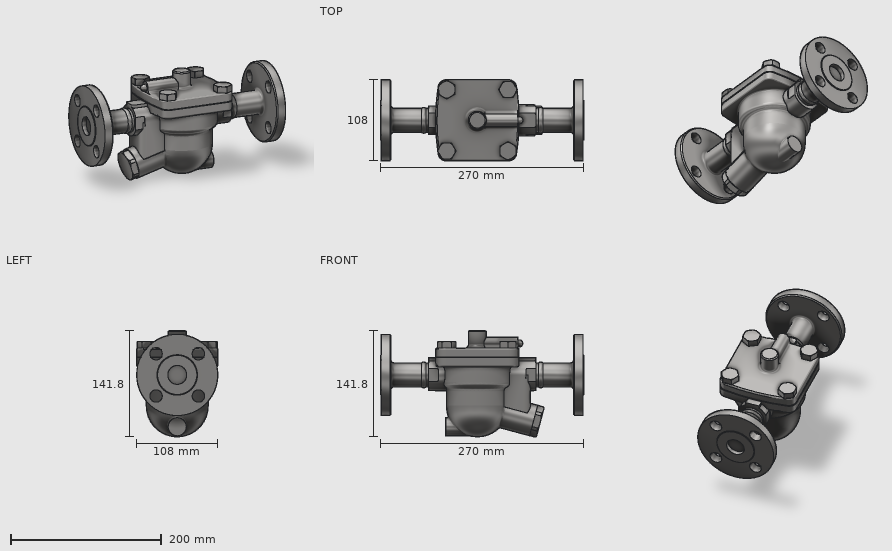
import cadquery as cq
import math

END_X = 135.0
BODY_X = -6.5

FLANGE_R = 54.0
FLANGE_BACK_X = 121.2
RAISED_R = 26.86
RAISED_H = 0.8
FLANGE_CHAMFER = 1.5
PIPE_R = 16.06
PIPE_FILLET = 4.0
BEAD_R = 17.3
BEAD_X = 74.8
BEAD_LENGTH = 6.0
BORE_DIA = 25.0
BORE_DEPTH = 6.2
FLANGE_HOLE_DIA = 16.5
FLANGE_HOLE_PITCH = 56.2

BOSS_R = 21.0
BOSS_END_X = 71.3
FLAT_LENGTH = 13.0
FLAT_HEIGHT = 17.8
FLAT_Y = 19.2
FLAT_ROUND = 2.2
PAD_TOP_Z = 23.0
OUTLET_PAD_WIDTH = 19.5
OUTLET_PAD_ROUND = 2.7
INLET_PAD_WIDTH = 14.0
INLET_PAD_ROUND = 6.0

NECK_R = 47.8
NECK_FILLET = 2.5
NECK_BOTTOM_Z = -10.5
SHOULDER_MID_Z = -16.5
BOWL_TOP_Z = -21.0
BOWL_R = 41.3
BOWL_CENTRE_Z = -41.0

PLATE_BOTTOM_Z = 10.8
SPLIT_Z = 23.5
COVER_TOP_Z = 35.6
PLATE_HALF_Y = 54.0
PLATE_CORNER_X = 50.5
PLATE_MIDDLE_X = 55.5
PLATE_CORNER_R = 10.8
PLATE_EDGE_ROUND = 2.2
GASKET_HEIGHT = 0.8
GASKET_INSET = 0.5

BOLT_OFFSET = 40.8
BOLT_ACROSS_FLATS = 21.5
BOLT_TURNED_DIA = 24.8
BOLT_TOP_Z = 44.5
BOLT_CHAMFER = 1.0

STEM_R = 12.02
STEM_TOP_Z = 59.0
STEM_CHAMFER = 1.5
STEM_FILLET = 5.0
RIB_R = 8.5
RIB_AXIS_Z = 41.8
RIB_END_X = 47.2
RIB_FILLET = 4.5
PIN_R = 4.9
PIN_END_X = 54.0

CHANNEL_END_X = 64.0
CHANNEL_CORNER_R = 9.0
CHANNEL_HALF_WIDTH = BOSS_R
CHANNEL_FOOT_RISE = 7.5
STRAINER_ANGLE = 15.0
STRAINER_R = 21.0
CAP_FACE_X = 77.2
CAP_FACE_Z = -63.0
CAP_ACROSS_FLATS = 38.3
CAP_TURNED_DIA = 41.8
CAP_THICKNESS = 9.2
CAP_CHAMFER = 1.4
STRAINER_LENGTH = 67.5
STRAINER_FILLET = 3.2

SEAM_TOLERANCE = 0.03

DRAIN_R = 12.02
DRAIN_END_X = -48.5
DRAIN_Z = -68.8
DRAIN_FILLET = 1.5


def hex_head(plane, across_flats, turned_dia, height, turn, chamfer):
    """Turned and chamfered disc with six flats."""
    across_corners = across_flats / math.cos(math.radians(30))
    hexagon = (
        cq.Workplane(plane)
        .transformed(rotate=(0, 0, turn))
        .polygon(6, across_corners)
        .extrude(height)
    )
    disc = (
        cq.Workplane(plane)
        .circle(turned_dia / 2)
        .extrude(height)
        .faces(cq.selectors.DirectionMinMaxSelector(plane.zDir))
        .chamfer(chamfer)
    )
    return hexagon.intersect(disc)


def make_pipe_end():
    """Flange, pipe and weld bead of the +X end, as one revolved profile."""
    face_x = END_X - RAISED_H
    bead_end_x = BEAD_X + BEAD_LENGTH
    arc_shift = PIPE_FILLET * (1 - math.sqrt(0.5))
    profile = (
        cq.Workplane("XY")
        .moveTo(BODY_X, 0)
        .lineTo(BODY_X, PIPE_R)
        .lineTo(BEAD_X, PIPE_R)
        .threePointArc((BEAD_X + BEAD_LENGTH / 2, BEAD_R), (bead_end_x, PIPE_R))
        .lineTo(FLANGE_BACK_X - PIPE_FILLET, PIPE_R)
        .threePointArc((FLANGE_BACK_X - arc_shift, PIPE_R + arc_shift),
                       (FLANGE_BACK_X, PIPE_R + PIPE_FILLET))
        .lineTo(FLANGE_BACK_X, FLANGE_R - FLANGE_CHAMFER)
        .lineTo(FLANGE_BACK_X + FLANGE_CHAMFER, FLANGE_R)
        .lineTo(face_x, FLANGE_R)
        .lineTo(face_x, RAISED_R)
        .lineTo(END_X, RAISED_R - RAISED_H)
        .lineTo(END_X, 0)
        .close()
    )
    end = profile.revolve(360, (0, 0, 0), (1, 0, 0))
    holes = (
        cq.Workplane("YZ", origin=(FLANGE_BACK_X - 2.7, 0, 0))
        .rect(FLANGE_HOLE_PITCH, FLANGE_HOLE_PITCH, forConstruction=True)
        .vertices()
        .circle(FLANGE_HOLE_DIA / 2)
        .extrude(END_X)
    )
    bore = (
        cq.Workplane("YZ", origin=(END_X - BORE_DEPTH, 0, 0))
        .circle(BORE_DIA / 2)
        .extrude(BORE_DEPTH)
    )
    return end.cut(holes).cut(bore)


def cut_flats(body):
    """Wrench flats on both sides of both bosses."""
    flat_x = BOSS_END_X - FLAT_LENGTH / 2
    cutter = (
        cq.Workplane("XY")
        .box(FLAT_LENGTH, BOSS_R, FLAT_HEIGHT)
        .edges("|Y and <X")
        .fillet(FLAT_ROUND)
        .translate((flat_x, FLAT_Y + BOSS_R / 2, 0))
    )
    cutters = cutter.union(cutter.mirror("XZ"))
    return body.cut(cutters).cut(cutters.mirror("YZ"))


def make_pad(width, corner_round):
    """Flat pad on top of the +X boss."""
    return (
        cq.Workplane("XY")
        .rect(2 * BOSS_END_X, width)
        .extrude(PAD_TOP_Z)
        .edges("|Z and >X")
        .fillet(corner_round)
    )


def blend(body, addition, radius):
    """Join two solids and round the seam between their surfaces."""
    joined = body.union(addition)
    old_edges = [edge.Center() for solid in (body, addition) for edge in solid.edges().vals()]
    seam = [
        edge for edge in joined.edges().vals()
        if min((edge.Center() - centre).Length for centre in old_edges) > SEAM_TOLERANCE
    ]
    return joined.newObject(seam).fillet(radius)


def make_bowl():
    """Neck, S-curved shoulder and round-bottomed bowl, as one revolved profile."""
    collar_r = NECK_R + NECK_FILLET
    drop = (NECK_BOTTOM_Z - SHOULDER_MID_Z) / (NECK_BOTTOM_Z - BOWL_TOP_Z)
    shoulder_mid_r = NECK_R - drop * (NECK_R - BOWL_R)
    profile = (
        cq.Workplane("XZ")
        .moveTo(0, SPLIT_Z)
        .lineTo(collar_r, SPLIT_Z)
        .lineTo(collar_r, PLATE_BOTTOM_Z)
        .radiusArc((NECK_R, PLATE_BOTTOM_Z - NECK_FILLET), -NECK_FILLET)
        .lineTo(NECK_R, NECK_BOTTOM_Z)
        .tangentArcPoint((shoulder_mid_r, SHOULDER_MID_Z), relative=False)
        .tangentArcPoint((BOWL_R, BOWL_TOP_Z), relative=False)
        .lineTo(BOWL_R, BOWL_CENTRE_Z)
        .tangentArcPoint((0, BOWL_CENTRE_Z - BOWL_R), relative=False)
        .close()
    )
    return profile.revolve(360, (0, 0, 0), (0, 1, 0)).translate((BODY_X, 0, 0))


def make_plate(bottom_z, top_z, inset=0.0):
    """Square plate with bowed X sides; the inset shrinks its outline evenly."""
    corner_x = PLATE_CORNER_X - inset
    middle_x = PLATE_MIDDLE_X - inset
    half_y = PLATE_HALF_Y - inset
    plate = (
        cq.Workplane("XY", origin=(BODY_X, 0, bottom_z))
        .moveTo(-corner_x, half_y)
        .lineTo(corner_x, half_y)
        .threePointArc((middle_x, 0), (corner_x, -half_y))
        .lineTo(-corner_x, -half_y)
        .threePointArc((-middle_x, 0), (-corner_x, half_y))
        .close()
        .extrude(top_z - bottom_z)
    )
    return plate.edges("|Z").fillet(PLATE_CORNER_R)


def make_cover():
    """Cover plate with stem, rib with rounded end pin, and bolt heads."""
    plate_z = SPLIT_Z + GASKET_HEIGHT / 2
    cover = make_plate(plate_z, COVER_TOP_Z).faces(">Z").edges().fillet(PLATE_EDGE_ROUND)
    stem = (
        cq.Workplane("XY", origin=(BODY_X, 0, SPLIT_Z))
        .circle(STEM_R)
        .extrude(STEM_TOP_Z - SPLIT_Z)
        .faces(">Z")
        .chamfer(STEM_CHAMFER)
    )
    cover = cover.union(stem).union(make_stem_fillet()).union(make_rib())
    for x_side, y_side in ((1, 1), (1, -1), (-1, 1), (-1, -1)):
        centre = (BODY_X + x_side * BOLT_OFFSET, y_side * BOLT_OFFSET, COVER_TOP_Z)
        turn = 0 if x_side * y_side > 0 else 30
        head = hex_head(cq.Plane(centre), BOLT_ACROSS_FLATS, BOLT_TURNED_DIA,
                        BOLT_TOP_Z - COVER_TOP_Z, turn, BOLT_CHAMFER)
        cover = cover.union(head)
    return cover


def make_stem_fillet():
    """Concave foot around the stem."""
    foot_r = STEM_R + STEM_FILLET
    head_z = COVER_TOP_Z + STEM_FILLET
    arc_shift = STEM_FILLET * (1 - math.sqrt(0.5))
    ring = (
        cq.Workplane("XZ")
        .moveTo(0, COVER_TOP_Z)
        .lineTo(foot_r, COVER_TOP_Z)
        .threePointArc((STEM_R + arc_shift, COVER_TOP_Z + arc_shift), (STEM_R, head_z))
        .lineTo(0, head_z)
        .close()
    )
    return ring.revolve(360, (0, 0, 0), (0, 1, 0)).translate((BODY_X, 0, 0))


def make_rib():
    """Round-topped rib with concave feet, running from the stem to the cover edge."""
    fillet_z = COVER_TOP_Z + RIB_FILLET
    foot_y = math.sqrt((RIB_R + RIB_FILLET) ** 2 - (fillet_z - RIB_AXIS_Z) ** 2)
    side_share = RIB_R / (RIB_R + RIB_FILLET)
    side_y = side_share * foot_y
    side_z = RIB_AXIS_Z + side_share * (fillet_z - RIB_AXIS_Z)
    rib = (
        cq.Workplane("YZ", origin=(BODY_X, 0, 0))
        .moveTo(-foot_y, COVER_TOP_Z)
        .lineTo(foot_y, COVER_TOP_Z)
        .radiusArc((side_y, side_z), RIB_FILLET)
        .threePointArc((0, RIB_AXIS_Z + RIB_R), (-side_y, side_z))
        .radiusArc((-foot_y, COVER_TOP_Z), RIB_FILLET)
        .close()
        .extrude(RIB_END_X - BODY_X)
    )
    pin_centre_x = PIN_END_X - PIN_R
    pin = cq.Workplane("YZ", origin=(BODY_X, 0, RIB_AXIS_Z)).circle(PIN_R).extrude(pin_centre_x - BODY_X)
    tip = cq.Workplane("XY").sphere(PIN_R).translate((pin_centre_x, 0, RIB_AXIS_Z))
    return rib.union(pin).union(tip)


def strainer_plane(distance_from_face):
    """Plane square to the strainer axis, set back from the cap's outer face."""
    angle = math.radians(STRAINER_ANGLE)
    origin = (CAP_FACE_X - distance_from_face * math.cos(angle), 0,
              CAP_FACE_Z + distance_from_face * math.sin(angle))
    axis = (math.cos(angle), 0, -math.sin(angle))
    return cq.Plane(origin=origin, xDir=(0, 1, 0), normal=axis)


def make_barrel():
    """Inclined strainer barrel, from inside the bowl to the cap."""
    return (
        cq.Workplane(strainer_plane(STRAINER_LENGTH))
        .circle(STRAINER_R)
        .extrude(STRAINER_LENGTH - CAP_THICKNESS)
    )


def make_cap():
    """Hexagonal cap that closes the strainer barrel."""
    return hex_head(strainer_plane(CAP_THICKNESS), CAP_ACROSS_FLATS, CAP_TURNED_DIA,
                    CAP_THICKNESS, 30, CAP_CHAMFER)


def make_channel():
    """Upright block that joins the outlet boss to the strainer barrel."""
    slope = math.tan(math.radians(STRAINER_ANGLE))
    foot_z = CAP_FACE_Z + CHANNEL_FOOT_RISE + slope * (CAP_FACE_X - CHANNEL_END_X)
    root_z = CAP_FACE_Z + CHANNEL_FOOT_RISE + slope * (CAP_FACE_X - BODY_X)
    block = (
        cq.Workplane("XZ", origin=(0, CHANNEL_HALF_WIDTH, 0))
        .polyline([(BODY_X, 0), (CHANNEL_END_X, 0), (CHANNEL_END_X, foot_z), (BODY_X, root_z)])
        .close()
        .extrude(2 * CHANNEL_HALF_WIDTH)
    )
    return block.edges("|Z and >X").fillet(CHANNEL_CORNER_R)


def make_drain():
    """Round drain boss low on the -X side of the bowl."""
    return (
        cq.Workplane("YZ", origin=(DRAIN_END_X, 0, DRAIN_Z))
        .circle(DRAIN_R)
        .extrude(BODY_X - DRAIN_END_X)
    )


body = make_bowl()
body = blend(body, make_drain(), DRAIN_FILLET)
body = blend(body, make_barrel(), STRAINER_FILLET)
bosses = cq.Workplane("YZ", origin=(-BOSS_END_X, 0, 0)).circle(BOSS_R).extrude(2 * BOSS_END_X)
body = body.union(bosses)
body = cut_flats(body)
body = body.union(make_pad(OUTLET_PAD_WIDTH, OUTLET_PAD_ROUND))
body = body.union(make_pad(INLET_PAD_WIDTH, INLET_PAD_ROUND).mirror("YZ"))
body = body.union(make_channel()).union(make_cap())

lower_plate_z = SPLIT_Z - GASKET_HEIGHT / 2
lower_plate = make_plate(PLATE_BOTTOM_Z, lower_plate_z).faces("<Z").edges().fillet(PLATE_EDGE_ROUND)
gasket = make_plate(lower_plate_z, lower_plate_z + GASKET_HEIGHT, GASKET_INSET)

pipe_end = make_pipe_end()
result = body.union(lower_plate).union(gasket).union(make_cover())
result = result.union(pipe_end).union(pipe_end.mirror("YZ"))